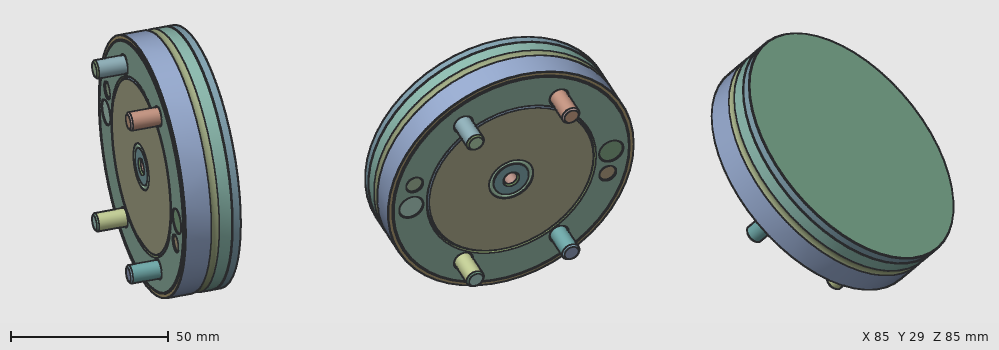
import cadquery as cq
import math


disc_radius = 42.5
face_depth = 18.95
rim_step = 0.25
rim_step_radius = 40.8
rim_step_chamfer = 0.25
rim_chamfer = 0.2
back_chamfer = 0.25

seam_depth = 3.0
seam_half_width = 0.2
band_groove_start = 7.4
band_groove_width = 2.6
band_groove_depth = 0.6

ring_groove_radius = 28.8
ring_groove_half_width = 0.5

seal_inner_radius = 6.0
seal_outer_radius = 7.65
seal_edge_depth = 0.5
seal_crest = 0.25

centre_hole_radius = 2.2
centre_hole_mouth_radius = 2.8
centre_hole_depth = 8.5

pin_radius = 6.0 / 2
pin_chamfer = 0.6
pin_root_depth = face_depth / 2
pin_tip_depth = 29.0
pin_circle_radius = 33.0
pin_angles = (60, 120, 240, 300)
pin_seat_radius = 6.7 / 2

recess_circle_radius = 34.5
recess_wall_inset = 0.25
large_recess_radius = 4.25
large_recess_depth = 0.25
large_recess_angles = (0, 180)
small_recess_radius = 3.0
small_recess_depth = 0.4
small_recess_angles = (165, 345)


def polar_point(radius, angle):
    """X and Z of a point on a circle around the disc axis."""
    turn = math.radians(angle)
    return radius * math.cos(turn), radius * math.sin(turn)


def turned(outline, centre=(0, 0)):
    """Turn a closed (radius, Y) outline about the Y axis and move it to an X, Z centre."""
    solid = outline.close().revolve(360, (0, 0, 0), (0, 1, 0))
    return solid.translate((centre[0], 0, centre[1]))


def cone_pocket(mouth_radius, floor_radius, depth, centre=(0, 0)):
    """Cutter for a sloped pocket sunk into the front face."""
    outline = (
        cq.Workplane("XY")
        .moveTo(0, -face_depth)
        .lineTo(mouth_radius, -face_depth)
        .lineTo(floor_radius, -face_depth + depth)
        .lineTo(0, -face_depth + depth)
    )
    return turned(outline, centre)


def make_disc():
    """Disc with its wall grooves, stepped rim, face groove and seal ring."""
    band_groove_end = band_groove_start + band_groove_width
    band_groove_middle = band_groove_start + band_groove_width / 2
    seal_mid_radius = (seal_inner_radius + seal_outer_radius) / 2
    rim_face = -face_depth + rim_step
    seal_edge = -face_depth + seal_edge_depth
    outline = (
        cq.Workplane("XY")
        .moveTo(0, 0)
        .lineTo(disc_radius - back_chamfer, 0)
        .lineTo(disc_radius, -back_chamfer)
        .lineTo(disc_radius, -seam_depth + seam_half_width)
        .lineTo(disc_radius - seam_half_width, -seam_depth)
        .lineTo(disc_radius, -seam_depth - seam_half_width)
        .lineTo(disc_radius, -band_groove_start)
        .threePointArc(
            (disc_radius - band_groove_depth, -band_groove_middle),
            (disc_radius, -band_groove_end),
        )
        .lineTo(disc_radius, rim_face + rim_chamfer)
        .lineTo(disc_radius - rim_chamfer, rim_face)
        .lineTo(rim_step_radius + rim_step_chamfer, rim_face)
        .lineTo(rim_step_radius, rim_face + rim_step_chamfer)
        .lineTo(rim_step_radius, -face_depth + rim_step_chamfer)
        .lineTo(rim_step_radius - rim_step_chamfer, -face_depth)
        .lineTo(ring_groove_radius + ring_groove_half_width, -face_depth)
        .lineTo(ring_groove_radius, -face_depth + ring_groove_half_width)
        .lineTo(ring_groove_radius - ring_groove_half_width, -face_depth)
        .lineTo(seal_outer_radius, -face_depth)
        .lineTo(seal_outer_radius, seal_edge)
        .threePointArc(
            (seal_mid_radius, -face_depth - seal_crest),
            (seal_inner_radius, seal_edge),
        )
        .lineTo(seal_inner_radius, -face_depth)
        .lineTo(0, -face_depth)
    )
    return turned(outline)


def make_centre_hole():
    """Cutter for the blind centre hole with its chamfered mouth."""
    mouth_depth = centre_hole_mouth_radius - centre_hole_radius
    mouth = cone_pocket(centre_hole_mouth_radius, centre_hole_radius, mouth_depth)
    bore = cone_pocket(centre_hole_radius, centre_hole_radius, centre_hole_depth)
    return mouth.union(bore)


def make_pin(centre):
    """Pin with a chamfered tip, rooted at mid-depth of the disc."""
    outline = (
        cq.Workplane("XY")
        .moveTo(0, -pin_root_depth)
        .lineTo(pin_radius, -pin_root_depth)
        .lineTo(pin_radius, -pin_tip_depth + pin_chamfer)
        .lineTo(pin_radius - pin_chamfer, -pin_tip_depth)
        .lineTo(0, -pin_tip_depth)
    )
    return turned(outline, centre)


result = make_disc().cut(make_centre_hole())

recess_groups = (
    (large_recess_radius, large_recess_depth, large_recess_angles),
    (small_recess_radius, small_recess_depth, small_recess_angles),
)
for mouth_radius, depth, recess_angles in recess_groups:
    for angle in recess_angles:
        centre = polar_point(recess_circle_radius, angle)
        floor_radius = mouth_radius - recess_wall_inset
        result = result.cut(cone_pocket(mouth_radius, floor_radius, depth, centre))

for angle in pin_angles:
    centre = polar_point(pin_circle_radius, angle)
    seat_depth = pin_seat_radius - pin_radius
    result = result.cut(cone_pocket(pin_seat_radius, pin_radius, seat_depth, centre))
    result = result.union(make_pin(centre))